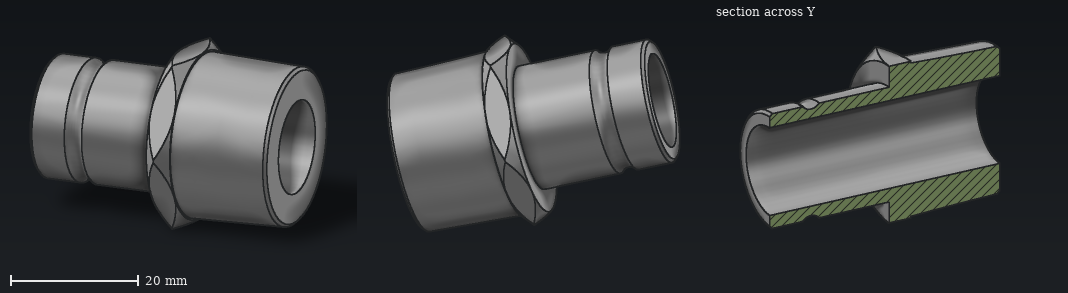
import cadquery as cq
import math

total_length = 41.5
collar_start = 21.5
collar_width = 4.0
groove_start = 6.0
groove_width = 2.95

tube_radius = 9.9
bore_diameter = 15.02
groove_depth = 0.7
collar_sides = 6
collar_flats = 27.0
taper_large_radius = 13.25
taper_ratio = 1 / 32
tube_chamfer = 0.5
end_chamfer = 0.5

collar_end = collar_start + collar_width
collar_middle = collar_start + collar_width / 2
groove_end = groove_start + groove_width
groove_middle = groove_start + groove_width / 2


def turned_half_profile():
    """Closed X-radius outline of the tube, its round groove and the tapered end."""
    taper_small_radius = taper_large_radius - taper_ratio * (total_length - collar_end)
    return (
        cq.Workplane("XY")
        .moveTo(0, 0)
        .lineTo(0, tube_radius - tube_chamfer)
        .lineTo(tube_chamfer, tube_radius)
        .lineTo(groove_start, tube_radius)
        .threePointArc((groove_middle, tube_radius - groove_depth), (groove_end, tube_radius))
        .lineTo(collar_end, tube_radius)
        .lineTo(collar_end, taper_large_radius)
        .lineTo(total_length - end_chamfer, taper_small_radius)
        .lineTo(total_length, taper_small_radius - end_chamfer)
        .lineTo(total_length, 0)
        .close()
    )


def hex_collar():
    """Hexagon, flats up and down, whose 45 degree corner bevels meet at mid-width."""
    across_corners = collar_flats / math.cos(math.pi / collar_sides)
    hexagon = (
        cq.Workplane("YZ", origin=(collar_start, 0, 0))
        .polygon(collar_sides, across_corners)
        .extrude(collar_width)
    )
    face_radius = collar_flats / 2
    bevel_peak_radius = face_radius + collar_width / 2
    bevel_envelope = (
        cq.Workplane("XY")
        .moveTo(collar_start, 0)
        .lineTo(collar_start, face_radius)
        .lineTo(collar_middle, bevel_peak_radius)
        .lineTo(collar_end, face_radius)
        .lineTo(collar_end, 0)
        .close()
        .revolve(360, (0, 0, 0), (1, 0, 0))
    )
    return hexagon.intersect(bevel_envelope)


turned_body = turned_half_profile().revolve(360, (0, 0, 0), (1, 0, 0))
bore = cq.Workplane("YZ").circle(bore_diameter / 2).extrude(total_length)

result = turned_body.union(hex_collar()).cut(bore)